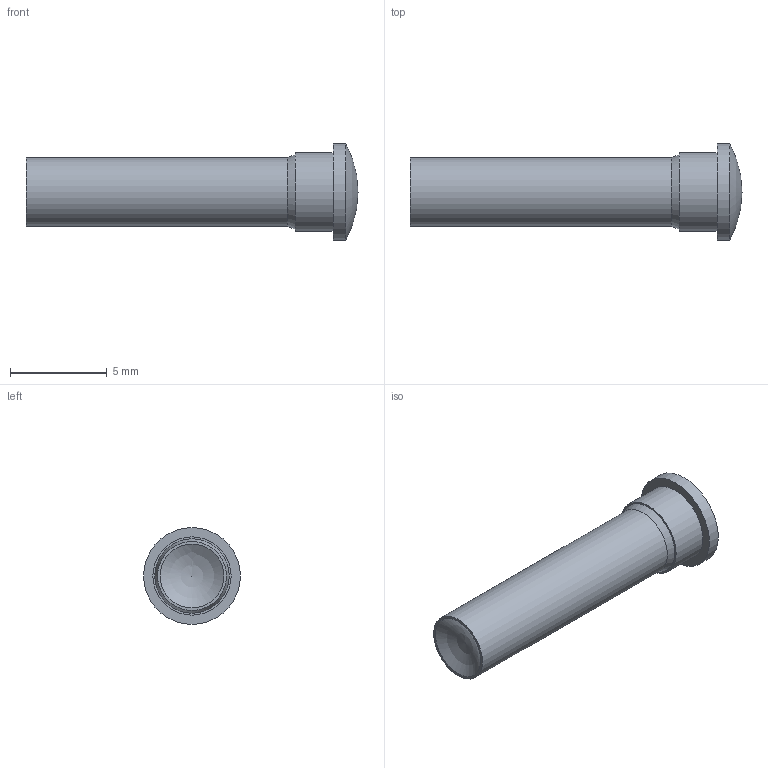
import cadquery as cq
import math

shaft_radius = 1.78
flare_radius = 1.92
collar_radius = 2.02
head_radius = 2.5
recess_radius = 1.65

shaft_length = 13.5
flare_length = 0.4
collar_length = 1.95
rim_length = 0.65
dome_height = 0.64
recess_depth = 0.55

flare_start = shaft_length
collar_start = flare_start + flare_length
head_start = collar_start + collar_length
rim_end = head_start + rim_length
dome_tip = rim_end + dome_height


def cap_midpoint(apex_x, base_radius, height):
    """Point halfway along a spherical cap's arc, from the +X apex on the axis to its base rim."""
    cap_radius = (base_radius**2 + height**2) / (2 * height)
    half_angle = math.asin(base_radius / cap_radius) / 2
    sag = cap_radius * (1 - math.cos(half_angle))
    return (apex_x - sag, cap_radius * math.sin(half_angle))


def half_section():
    """Outline of the pin above its axis: dished end, shaft, flare, collar and domed head."""
    recess_middle = cap_midpoint(recess_depth, recess_radius, recess_depth)
    dome_middle = cap_midpoint(dome_tip, head_radius, dome_height)
    return (
        cq.Workplane("XZ")
        .moveTo(recess_depth, 0)
        .threePointArc(recess_middle, (0, recess_radius))
        .lineTo(0, shaft_radius)
        .lineTo(flare_start, shaft_radius)
        .lineTo(collar_start, flare_radius)
        .lineTo(collar_start, collar_radius)
        .lineTo(head_start, collar_radius)
        .lineTo(head_start, head_radius)
        .lineTo(rim_end, head_radius)
        .threePointArc(dome_middle, (dome_tip, 0))
        .close()
    )


result = half_section().revolve(360, (0, 0, 0), (1, 0, 0))